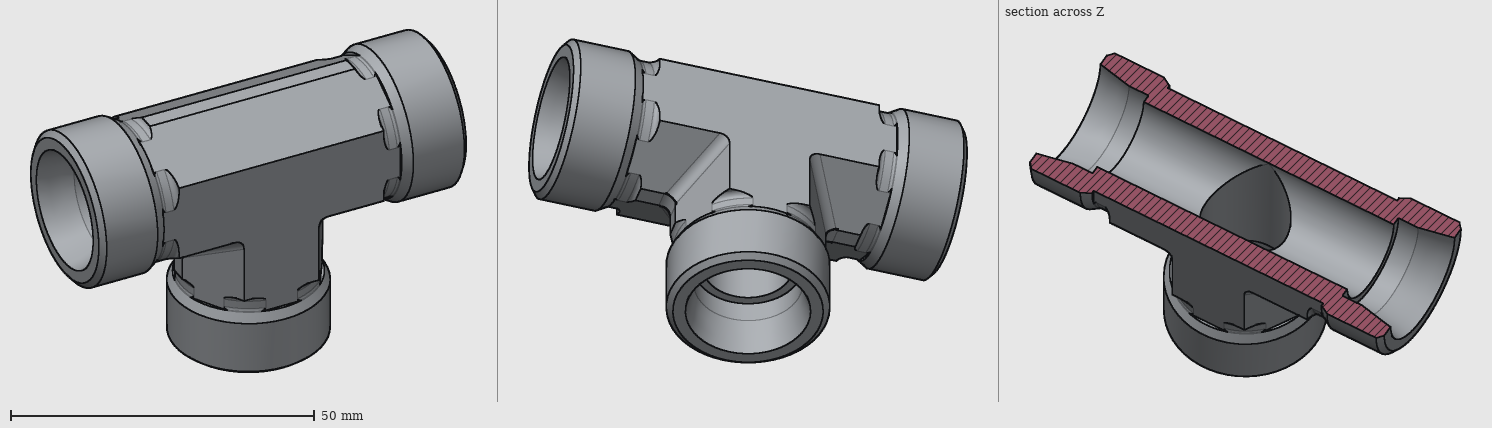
import cadquery as cq
import math

END_REACH = 34.0
COLLAR_RADIUS = 13.5
COLLAR_START = 22.0
FRONT_BEVEL_LENGTH = 0.9
FRONT_BEVEL_HEIGHT = 1.1
BACK_TAPER = math.radians(30)
TAPER_UNDERCUT = 0.33

HEX_FLATS = 24.0
RIDGE_REACH = 13.0
CROTCH_RADIUS = 2.0

RELIEF_RADIUS = 12.35
RELIEF_BLEND = 1.0
RELIEF_END = 19.95

BORE_RADIUS = 7.5
SOCKET_RADIUS = 9.0
MOUTH_RADIUS = 10.33
MOUTH_TAPER = math.radians(12)
SOCKET_DEPTH = 10.0

HEX_TURN = 30
HEX_HALF = HEX_FLATS / 2
HEX_CORNER = HEX_HALF / math.cos(math.radians(HEX_TURN))
CUT_REACH = HEX_CORNER + 1

TAPER_ROOT = COLLAR_START - TAPER_UNDERCUT
TAPER_END = TAPER_ROOT + (COLLAR_RADIUS - RELIEF_RADIUS) / math.tan(BACK_TAPER)
COLLAR_BACK_RADIUS = RELIEF_RADIUS + (COLLAR_START - TAPER_ROOT) * math.tan(BACK_TAPER)


def turn(profile):
    """Revolve a closed (radius, height) profile around Z."""
    return profile.close().revolve(360, (0, 0, 0), (0, 1, 0))


def at_ends(make_upright):
    """Make a shape pointing up +Z and turn copies to the run ends and the branch end."""
    shape = make_upright()
    return [shape.rotate((0, 0, 0), (1, 0, 0), angle) for angle in (90, -90, 180)]


def hex_arm():
    """Hexagonal bar up +Z, flats facing X, with the ridges facing Y cut flat."""
    hexagon = (
        cq.Workplane("XY")
        .polygon(6, 2 * HEX_CORNER)
        .extrude(COLLAR_START)
        .rotate((0, 0, 0), (0, 0, 1), HEX_TURN)
    )
    slab = cq.Workplane("XY").rect(2 * HEX_CORNER, 2 * RIDGE_REACH).extrude(COLLAR_START)
    return hexagon.intersect(slab)


def tee_body():
    """Join the three arms and round the crotches between the run and the branch."""
    run_front, run_back, branch = at_ends(hex_arm)
    body = run_front.union(run_back).union(branch).clean()
    nearest, farthest = HEX_HALF / 2, HEX_CORNER
    for side in (1, -1):
        crotch = cq.selectors.BoxSelector(
            (-HEX_HALF, side * nearest, -farthest),
            (HEX_HALF, side * farthest, -nearest),
        )
        body = body.edges(crotch).fillet(CROTCH_RADIUS)
    return body


def relief_cutter():
    """Ring outside the relief: blended up to the hexagon and up to the back taper."""
    foot = TAPER_ROOT - RELIEF_BLEND * math.tan(BACK_TAPER / 2)
    blend_centre = RELIEF_RADIUS + RELIEF_BLEND

    def blend_point(centre_height, angle):
        return (
            blend_centre - RELIEF_BLEND * math.cos(angle),
            centre_height + RELIEF_BLEND * math.sin(angle),
        )

    return turn(
        cq.Workplane("XZ")
        .moveTo(CUT_REACH, RELIEF_END - RELIEF_BLEND)
        .lineTo(blend_centre, RELIEF_END - RELIEF_BLEND)
        .threePointArc(blend_point(RELIEF_END, -math.pi / 4), blend_point(RELIEF_END, 0))
        .lineTo(*blend_point(foot, 0))
        .threePointArc(blend_point(foot, BACK_TAPER / 2), blend_point(foot, BACK_TAPER))
        .lineTo(COLLAR_BACK_RADIUS, COLLAR_START)
        .lineTo(CUT_REACH, COLLAR_START)
    )


def collar():
    """Round collar with a tapered back and a bevelled front rim."""
    return turn(
        cq.Workplane("XZ")
        .moveTo(0, COLLAR_START)
        .lineTo(COLLAR_BACK_RADIUS, COLLAR_START)
        .lineTo(COLLAR_RADIUS, TAPER_END)
        .lineTo(COLLAR_RADIUS, END_REACH - FRONT_BEVEL_LENGTH)
        .lineTo(COLLAR_RADIUS - FRONT_BEVEL_HEIGHT, END_REACH)
        .lineTo(0, END_REACH)
    )


def bore_cutter():
    """Bore from the centre of the tee, tube socket and tapered mouth."""
    mouth_depth = (MOUTH_RADIUS - SOCKET_RADIUS) / math.tan(MOUTH_TAPER)
    return turn(
        cq.Workplane("XZ")
        .lineTo(BORE_RADIUS, 0)
        .lineTo(BORE_RADIUS, END_REACH - SOCKET_DEPTH)
        .lineTo(SOCKET_RADIUS, END_REACH - SOCKET_DEPTH)
        .lineTo(SOCKET_RADIUS, END_REACH - mouth_depth)
        .lineTo(MOUTH_RADIUS, END_REACH)
        .lineTo(0, END_REACH)
    )


result = tee_body()
for cutter in at_ends(relief_cutter):
    result = result.cut(cutter, clean=False)
for ring in at_ends(collar):
    result = result.union(ring, clean=False)
for cutter in at_ends(bore_cutter):
    result = result.cut(cutter, clean=False)